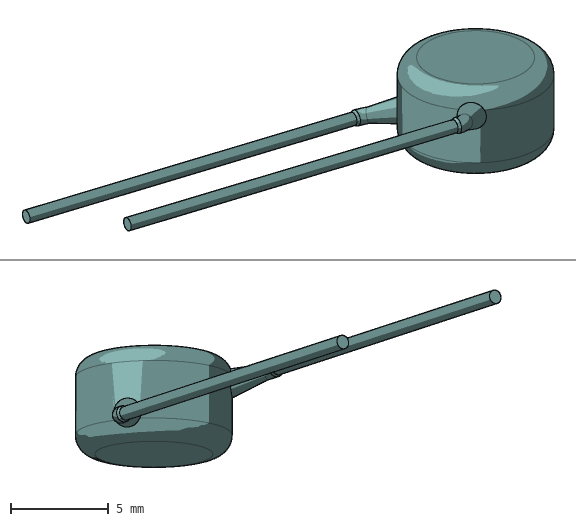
import cadquery as cq
import math


DISC_RADIUS = 4.0
DISC_HEIGHT = 5.0
RIM_FILLET = 1.0

OVERALL_LENGTH = 28.42
OVERALL_WIDTH = 10.2
LEAD_RADIUS = 0.355
LEAD_OFFSET_Z = 1.75
LEAD_END_Y = DISC_RADIUS - OVERALL_LENGTH

ARM_RADIUS = 0.43
MOUTH_LENGTH = 0.17
LEAD_OFFSET_X = OVERALL_WIDTH / 2 - ARM_RADIUS
MOUTH_Y = -4.4
BEND_START_Y = MOUTH_Y + MOUTH_LENGTH
BEND_RADIUS = 0.85
BEND_ANGLE = 47.0
ARM_TILT = 21.0
CONE_LENGTH = 2.55
CONE_HALF_ANGLE = 9.5
CONE_BASE_RADIUS = ARM_RADIUS + CONE_LENGTH * math.tan(math.radians(CONE_HALF_ANGLE))


def place_right(shape):
    """Move a shape built along the Y axis onto the right-hand lead axis."""
    tilted = shape.rotate((0, 0, 0), (0, 1, 0), -ARM_TILT)
    return tilted.translate((LEAD_OFFSET_X, 0, LEAD_OFFSET_Z))


def turn_about_y(shape, angle):
    """Half a turn about Y carries the right-hand arm or lead to the left-hand one."""
    return shape.rotate((0, 0, 0), (0, 1, 0), angle)


def make_disc():
    disc = cq.Workplane("XY", origin=(0, 0, -DISC_HEIGHT / 2)).circle(DISC_RADIUS).extrude(DISC_HEIGHT)
    return disc.faces("|Z").edges().fillet(RIM_FILLET)


def make_mouth():
    """End of the arm, tapered down to the lead's own radius."""
    mouth_end = cq.Vector(0, MOUTH_Y, 0)
    lead_axis = cq.Vector(0, 1, 0)
    mouth = cq.Solid.makeCone(LEAD_RADIUS, ARM_RADIUS, MOUTH_LENGTH, mouth_end, lead_axis)
    return cq.Workplane(mouth)


def make_bend():
    """Round elbow that turns from +Y toward -X."""
    start_plane = cq.Plane(origin=(0, BEND_START_Y, 0), xDir=(1, 0, 0), normal=(0, 1, 0))
    return (
        cq.Workplane(start_plane)
        .circle(ARM_RADIUS)
        .revolve(BEND_ANGLE, (-BEND_RADIUS, 0, 0), (-BEND_RADIUS, -1, 0))
    )


def make_cone():
    """Cone that widens from the end of the bend into the disc."""
    angle = math.radians(BEND_ANGLE)
    cone_start = cq.Vector(
        -BEND_RADIUS * (1 - math.cos(angle)),
        BEND_START_Y + BEND_RADIUS * math.sin(angle),
        0,
    )
    cone_axis = cq.Vector(-math.sin(angle), math.cos(angle), 0)
    cone = cq.Solid.makeCone(ARM_RADIUS, CONE_BASE_RADIUS, CONE_LENGTH, cone_start, cone_axis)
    return cq.Workplane(cone)


def make_arm():
    """Coating arm from the lead mouth up to the wide end inside the disc."""
    return place_right(make_mouth().union(make_bend()).union(make_cone()))


def make_lead():
    """Straight wire that starts at the mouth of its coating arm."""
    lead_plane = cq.Plane(origin=(0, MOUTH_Y, 0), xDir=(1, 0, 0), normal=(0, -1, 0))
    lead = cq.Workplane(lead_plane).circle(LEAD_RADIUS).extrude(MOUTH_Y - LEAD_END_Y)
    return place_right(lead)


coating = make_disc()
leads = []
for side_angle in (0, 180):
    coating = coating.union(turn_about_y(make_arm(), side_angle))
    leads.append(turn_about_y(make_lead(), side_angle).val())

result = cq.Compound.makeCompound([coating.val(), *leads])